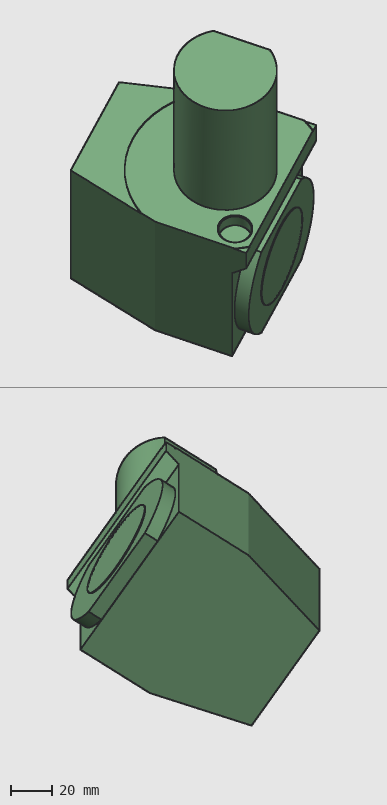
import cadquery as cq

total_height = 163.0

block_height = 85.1
block_left = -69.0
block_right = 29.5
block_half_width = 43.0
nose_half_width = 29.7
taper_end_x = -18.6

seat_radius = 48.9
seat_height = 0.5

recess_x = 22.0
lip_bottom_z = 72.5
lip_slope = block_right - recess_x

shank_diameter = 50.0
shank_flat_y = 20.0
shank_collar_height = 8.0

boss_diameter = 80.0
boss_flat_height = 63.2
boss_axis_z = 32.1
boss_pad_diameter = 50.0
boss_pad_height = 0.5

hole_x = 18.7
hole_y = -31.8
hole_diameter = 16.0
hole_depth = 7.3
hole_chamfer = 0.5


def make_block():
    """Tapered block with the seat on top and the recess below the lip."""
    plan = (
        cq.Workplane("XY")
        .moveTo(block_left, -nose_half_width)
        .lineTo(taper_end_x, -block_half_width)
        .lineTo(block_right, -block_half_width)
        .lineTo(block_right, block_half_width)
        .lineTo(taper_end_x, block_half_width)
        .lineTo(block_left, nose_half_width)
        .close()
    )
    block = plan.extrude(block_height)

    shoulder_z = block_height - seat_height
    lower_body = cq.Workplane("XY").circle(2 * seat_radius).extrude(shoulder_z)
    seat_column = cq.Workplane("XY").circle(seat_radius).extrude(block_height)
    block = block.intersect(lower_body.union(seat_column))

    recess = (
        cq.Workplane("XZ")
        .moveTo(recess_x, 0)
        .lineTo(block_right, 0)
        .lineTo(block_right, lip_bottom_z)
        .lineTo(recess_x, lip_bottom_z - lip_slope)
        .close()
        .extrude(block_half_width, both=True)
    )
    return block.cut(recess)


def make_shank():
    """Cylinder flattened on +Y above a full-round collar."""
    shank = (
        cq.Workplane("XY", origin=(0, 0, block_height))
        .circle(shank_diameter / 2)
        .extrude(total_height - block_height)
    )
    flat_cut = cq.Workplane("XY").box(
        shank_diameter, shank_diameter, total_height, centered=(True, False, False)
    )
    flat_bottom_z = block_height + shank_collar_height
    return shank.cut(flat_cut.translate((0, shank_flat_y, flat_bottom_z)))


def make_disc(start_x, end_x, diameter):
    """Disc along X, centred on the boss axis."""
    return (
        cq.Workplane("YZ", origin=(start_x, 0, boss_axis_z))
        .circle(diameter / 2)
        .extrude(end_x - start_x)
    )


def make_hole():
    """Blind hole with a chamfered rim, as a cutting body."""
    hole_radius = hole_diameter / 2
    profile = (
        cq.Workplane("XZ")
        .moveTo(0, 0)
        .lineTo(hole_radius + hole_chamfer, 0)
        .lineTo(hole_radius, -hole_chamfer)
        .lineTo(hole_radius, -hole_depth)
        .lineTo(0, -hole_depth)
        .close()
    )
    return profile.revolve(360, (0, 0, 0), (0, 1, 0)).translate((hole_x, hole_y, block_height))


boss_trim = cq.Workplane("XY").box(2 * boss_diameter, 2 * boss_diameter, boss_flat_height)
boss = make_disc(recess_x, block_right, boss_diameter).intersect(boss_trim.translate((0, 0, boss_axis_z)))
boss_pad = make_disc(block_right, block_right + boss_pad_height, boss_pad_diameter)

result = make_block().union(make_shank()).union(boss).union(boss_pad).cut(make_hole())